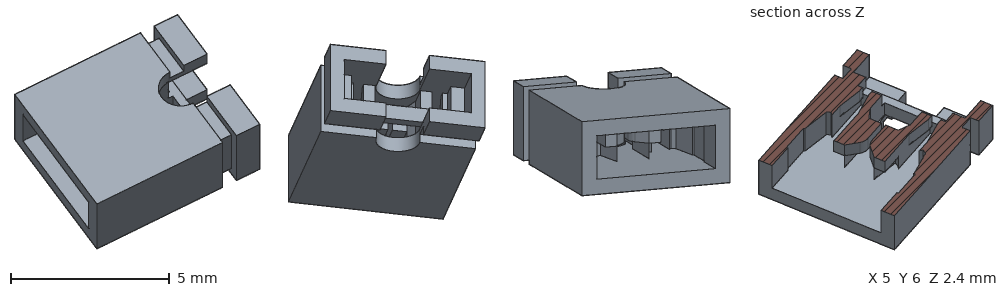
import cadquery as cq
import math


width = 5.0
length = 6.0
height = 2.4
wall = 0.5
lip_length = 0.98
lip_step = 0.05

rear_block_length = 0.865
groove_width = 0.505
groove_depth = 0.3
slot_width = 1.4
slot_depth = 2.1

pin_pitch = 2.545
bridge_front = 4.75
bridge_thickness = 0.3
bridge_height = 1.0
spring_front = 2.0
spring_back = 4.59
shoulder_y = 3.0
valley_depth = 0.08
nose_rise = 0.18
nose_arc_sag = 0.03
inner_spring_taper_start = 3.48
inner_spring_taper_end = 3.9
mouth_half_gap = 0.73
shoulder_half_gap = 0.55
valley_half_gap = 0.42
throat_half_gap = 0.33
pinch_half_gap = 0.17
jaw_front = 3.48
jaw_back = 4.38
inner_spring_outside = 0.54

wing_bend = 0.19
wing_tip = 0.07
wing_back = 3.48

mouth_width = width - 2 * wall
cavity_width = mouth_width + 2 * lip_step
cavity_height = height - 2 * wall
cavity_bottom = -cavity_height / 2
bridge_back = bridge_front + bridge_thickness
bridge_top = bridge_height - height / 2
pin_offset = pin_pitch / 2
wing_root = pin_offset - mouth_half_gap
bridge_length = 2 * (pin_offset + throat_half_gap)


def block(size_x, y_start, y_end, size_z):
    """Box centred on X and Z between two Y positions."""
    box = cq.Workplane("XY").box(size_x, y_end - y_start, size_z, centered=(True, False, True))
    return box.translate((0, y_start, 0))


def upright(outline, z_bottom, z_top):
    """Raise an XY outline between two heights."""
    return outline.extrude(z_top - z_bottom).translate((0, 0, z_bottom))


def both_sides(left):
    """A left-hand body together with its mirror image."""
    return left.union(left.mirror("YZ"))


def make_housing():
    body = block(width, 0, length, height)

    groove_end = length - rear_block_length
    groove_start = groove_end - groove_width
    core = block(width - 2 * groove_depth, groove_start, groove_end, height - 2 * groove_depth)
    body = body.cut(block(width, groove_start, groove_end, height).cut(core))

    body = body.cut(block(mouth_width, 0, lip_length, cavity_height))
    body = body.cut(block(cavity_width, lip_length, length, cavity_height))

    slot_radius = slot_width / 2
    slot_centre = length - slot_depth + slot_radius
    slot_end = cq.Workplane("XY").circle(slot_radius).extrude(height / 2, both=True)
    slot = block(slot_width, slot_centre, length, height)
    return body.cut(slot).cut(slot_end.translate((0, slot_centre, 0)))


def make_outer_spring():
    """Spring against the left wall: lead-in, shallow valley and straight throat."""
    wall_x = -cavity_width / 2
    valley_y = shoulder_y + valley_depth
    throat_y = valley_y - (valley_half_gap - throat_half_gap)
    outline = cq.Workplane("XY").polyline([
        (-pin_offset - mouth_half_gap, spring_front),
        (-pin_offset - shoulder_half_gap, shoulder_y),
        (-pin_offset - valley_half_gap, valley_y),
        (-pin_offset - throat_half_gap, throat_y),
        (-pin_offset - throat_half_gap, bridge_back),
        (wall_x, bridge_back),
        (wall_x, spring_front),
    ]).close()
    return upright(outline, cavity_bottom, cavity_height / 2)


def make_inner_spring():
    """Spring nearer the middle: straight throat, hollow nose and lead-in."""
    throat_x = -pin_offset + throat_half_gap
    shoulder_x = -pin_offset + shoulder_half_gap
    mouth_x = -pin_offset + mouth_half_gap
    outside_x = -pin_offset + inner_spring_outside
    hollow_middle = ((throat_x + shoulder_x) / 2, shoulder_y - nose_rise / 2 + nose_arc_sag)
    outline = (
        cq.Workplane("XY")
        .moveTo(throat_x, shoulder_y - nose_rise)
        .threePointArc(hollow_middle, (shoulder_x, shoulder_y))
        .lineTo(mouth_x, spring_front)
        .lineTo(mouth_x, inner_spring_taper_start)
        .lineTo(outside_x, inner_spring_taper_end)
        .lineTo(outside_x, spring_back)
        .lineTo(throat_x, spring_back)
        .close()
    )
    return upright(outline, cavity_bottom, cavity_height / 2)


def make_jaw(side):
    """Wedge above bridge level that pinches the pin; side is -1 outer or +1 inner."""
    throat_x = -pin_offset + side * throat_half_gap
    pinch_x = -pin_offset + side * pinch_half_gap
    outline = cq.Workplane("XY").polyline([
        (throat_x, jaw_front),
        (pinch_x, jaw_back),
        (pinch_x, spring_back),
        (throat_x, spring_back),
    ]).close()
    return upright(outline, bridge_top, cavity_height / 2)


def make_left_wing():
    """Upper tab: flat front, 45 degree slope and a round bend that ends parallel to Y."""
    bend_y = spring_front + wing_root - wing_bend
    bend_radius = (wing_bend - wing_tip) / (1 - math.cos(math.pi / 4))
    bend_end = bend_y + bend_radius * math.sin(math.pi / 4)
    bend_middle = (
        -wing_tip - bend_radius * (1 - math.cos(math.pi / 8)),
        bend_end - bend_radius * math.sin(math.pi / 8),
    )
    flat_start = -pin_offset + throat_half_gap
    outline = (
        cq.Workplane("XY")
        .moveTo(flat_start, spring_front)
        .lineTo(-wing_root, spring_front)
        .lineTo(-wing_bend, bend_y)
        .threePointArc(bend_middle, (-wing_tip, bend_end))
        .lineTo(-wing_tip, wing_back)
        .lineTo(flat_start, wing_back)
        .close()
    )
    return upright(outline, bridge_top, cavity_height / 2)


def make_left_rail():
    """Low bar that ties the inner spring to the bridge."""
    rail_width = inner_spring_outside - throat_half_gap
    rail_length = bridge_back - spring_back
    rail = cq.Workplane("XY").rect(rail_width, rail_length, centered=False)
    rail_x = -pin_offset + throat_half_gap
    return upright(rail, cavity_bottom, bridge_top).translate((rail_x, spring_back, 0))


def make_bridge():
    """Low bar across both contacts."""
    bridge = cq.Workplane("XY").rect(bridge_length, bridge_thickness)
    centre_y = bridge_front + bridge_thickness / 2
    return upright(bridge, cavity_bottom, bridge_top).translate((0, centre_y, 0))


result = (
    make_housing()
    .union(both_sides(make_outer_spring()))
    .union(both_sides(make_inner_spring()))
    .union(both_sides(make_left_wing()))
    .union(both_sides(make_jaw(-1)))
    .union(both_sides(make_jaw(1)))
    .union(both_sides(make_left_rail()))
    .union(make_bridge())
)